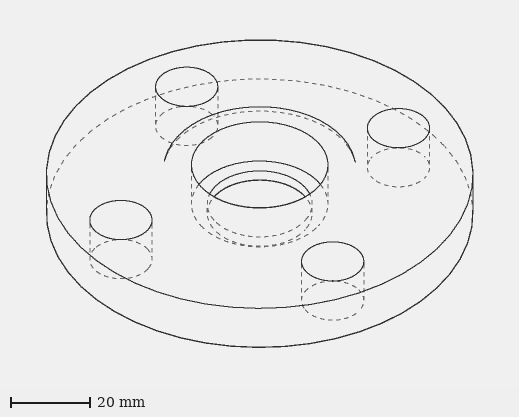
import cadquery as cq

flange_diameter = 107.9
flange_thickness = 12.7
total_height = 15.8

hub_foot_diameter = 49.2
hub_draft_angle = 10.0
hub_blend_radius = 1.5
hub_height = total_height - flange_thickness

socket_diameter = 34.5
socket_depth = 12.7
bore_diameter = 26.5

bolt_count = 4
bolt_circle_diameter = 79.3
bolt_hole_diameter = 15.8


def flange_plate():
    return cq.Workplane("XY").circle(flange_diameter / 2).extrude(flange_thickness)


def add_hub(body):
    body = (
        body.faces(">Z").workplane()
        .circle(hub_foot_diameter / 2)
        .extrude(hub_height, taper=hub_draft_angle)
    )
    body = body.faces(">Z").edges().fillet(hub_blend_radius)
    second_largest_circle = cq.selectors.RadiusNthSelector(-2)
    return body.edges("%CIRCLE").edges(second_largest_circle).fillet(hub_blend_radius)


def cut_stepped_bore(body):
    return body.faces(">Z").workplane().cboreHole(bore_diameter, socket_diameter, socket_depth)


def cut_bolt_holes(body):
    return (
        body.faces("<Z").workplane()
        .polarArray(bolt_circle_diameter / 2, 0, 360, bolt_count)
        .hole(bolt_hole_diameter)
    )


result = cut_bolt_holes(cut_stepped_bore(add_hub(flange_plate())))